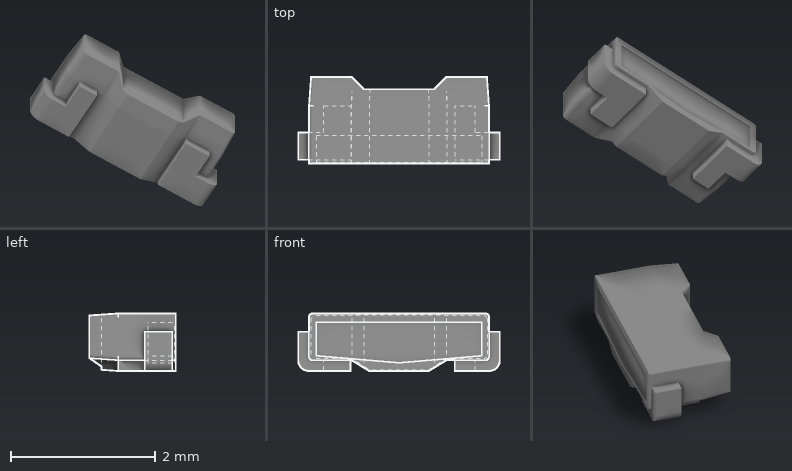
import cadquery as cq
import math

overall_width = 2.8
overall_depth = 1.2
overall_height = 0.8

strip_thickness = 0.15
strip_width = 0.38
strip_front = 0.05
strip_top = 0.545
left_foot_end = 0.672
right_foot_end = 0.773
pad_outer_end = 1.05

half_width = overall_width / 2 - strip_thickness
floor = strip_thickness
straight_depth = 0.8
draft_angle = 4.0
corner_radius = 0.05
keel_root = 0.66
keel_base = 0.412
notch_depth = 0.168
notch_half_width = 0.487

pad_back = straight_depth

lens_half_width = 1.15
lens_top = overall_height - 0.12
lens_side_bottom = 0.213
lens_middle_bottom = 0.115
lens_recess = 0.02
window_depth = 0.392


def extrude_back(profile, front, depth, taper=0.0):
    """Extrude a closed XZ profile in the +Y direction from Y = front."""
    plane = cq.Plane(origin=(0, front, 0), xDir=(1, 0, 0), normal=(0, -1, 0))
    return profile(cq.Workplane(plane)).extrude(-depth, taper=taper)


def housing_profile(sketch):
    return sketch.polyline([
        (-half_width, overall_height),
        (half_width, overall_height),
        (half_width, floor),
        (keel_root, floor),
        (keel_base, 0),
        (-keel_base, 0),
        (-keel_root, floor),
        (-half_width, floor),
    ]).close()


def lens_profile(sketch):
    return sketch.polyline([
        (-lens_half_width, lens_top),
        (lens_half_width, lens_top),
        (lens_half_width, lens_side_bottom),
        (0, lens_middle_bottom),
        (-lens_half_width, lens_side_bottom),
    ]).close()


def round_long_corners(section):
    """Round the edges along both housing sides, leaving the keel edges sharp."""
    for side in (">X", "<X"):
        section = section.faces(side).edges("not #Y").fillet(corner_radius)
    return section


def make_rear_notch():
    flare = notch_half_width + notch_depth
    notch = cq.Workplane("XY").polyline([
        (-flare, overall_depth),
        (flare, overall_depth),
        (notch_half_width, overall_depth - notch_depth),
        (-notch_half_width, overall_depth - notch_depth),
    ]).close()
    return notch.extrude(overall_height)


def make_housing():
    front = round_long_corners(extrude_back(housing_profile, 0, straight_depth))
    rear_depth = overall_depth - straight_depth
    rear = round_long_corners(extrude_back(housing_profile, straight_depth, rear_depth, draft_angle))
    window = extrude_back(lens_profile, 0, window_depth)
    return front.union(rear).cut(make_rear_notch()).cut(window)


def make_lens():
    return extrude_back(lens_profile, lens_recess, window_depth - lens_recess)


def make_terminal(side, foot_end):
    """L-shaped strip on one side (-1 left, +1 right), with its foot widened to the rear."""
    outer = overall_width / 2
    bend_radius = strip_thickness
    outer_mid = bend_radius * (1 - math.sqrt(0.5))
    inner_mid = corner_radius * (1 - math.sqrt(0.5))

    def profile(sketch):
        return (
            sketch.moveTo(side * foot_end, floor)
            .lineTo(side * foot_end, 0)
            .lineTo(side * (outer - bend_radius), 0)
            .threePointArc((side * (outer - outer_mid), outer_mid), (side * outer, bend_radius))
            .lineTo(side * outer, strip_top)
            .lineTo(side * half_width, strip_top)
            .lineTo(side * half_width, floor + corner_radius)
            .threePointArc(
                (side * (half_width - inner_mid), floor + inner_mid),
                (side * (half_width - corner_radius), floor),
            )
            .close()
        )

    strip = extrude_back(profile, strip_front, strip_width)
    pad = cq.Workplane("XY").rect(pad_outer_end - foot_end, pad_back - strip_front).extrude(strip_thickness)
    pad_centre = (side * (pad_outer_end + foot_end) / 2, (strip_front + pad_back) / 2, 0)
    return strip.union(pad.translate(pad_centre))


housing = make_housing()
lens = make_lens()
terminals = [make_terminal(side, end) for side, end in ((-1, left_foot_end), (1, right_foot_end))]

result = cq.Compound.makeCompound([
    housing.val(),
    lens.val(),
    *[terminal.val() for terminal in terminals],
])